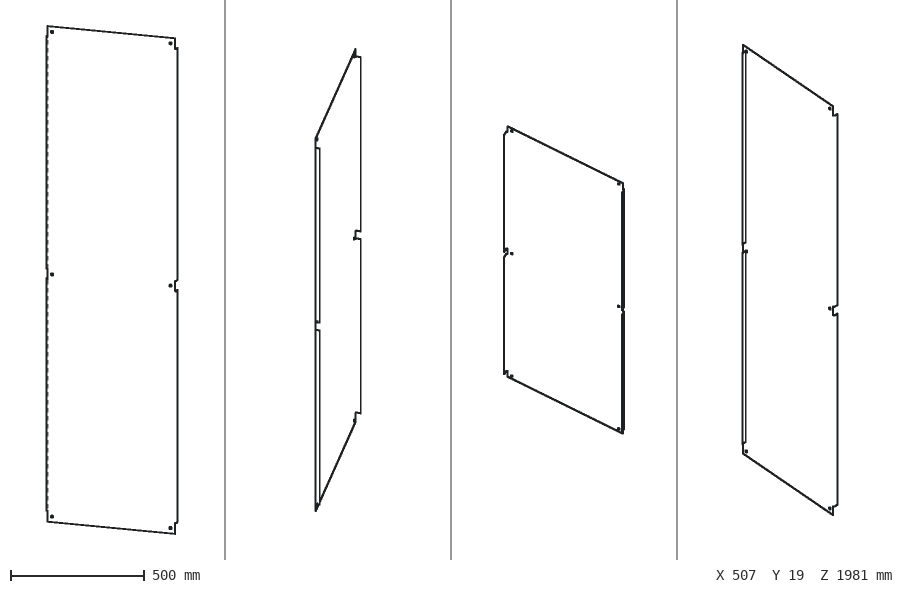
import cadquery as cq

height = 1981.0
width = 507.0
depth = 19.0

sheet = 2.0
outer_bend_radius = 4.0
inner_bend_radius = outer_bend_radius - sheet

middle_gap = 42.0
end_gap = 44.0
flange_length = (height - middle_gap) / 2 - end_gap
flange_center_z = (middle_gap + flange_length) / 2

hole_diameter = 9.0
hole_spacing_x = 460.0
hole_end_offset = 22.0
hole_spacing_z = height / 2 - hole_end_offset

plate_width = 495.0
front_y = -depth / 2


def make_plate():
    """Flat front sheet, including the tabs."""
    plate = cq.Workplane("XY").box(plate_width, sheet, height)
    return plate.translate((0, front_y + sheet / 2, 0))


def make_flanges(center_z):
    """One channel-shaped length with both sides folded backwards."""
    outside = cq.Workplane("XY").box(width, depth, flange_length)
    outside = outside.edges("|Z and <Y").fillet(outer_bend_radius)
    inside = cq.Workplane("XY").box(width - 2 * sheet, depth, flange_length)
    inside = inside.edges("|Z and <Y").fillet(inner_bend_radius)
    return outside.cut(inside.translate((0, sheet, 0))).translate((0, 0, center_z))


def make_holes():
    """Two columns of three cutters through the sheet."""
    return (
        cq.Workplane("XZ")
        .rarray(hole_spacing_x, hole_spacing_z, 2, 3)
        .circle(hole_diameter / 2)
        .extrude(depth, both=True)
    )


panel = make_plate()
for side in (-1, 1):
    panel = panel.union(make_flanges(side * flange_center_z))

result = panel.cut(make_holes())